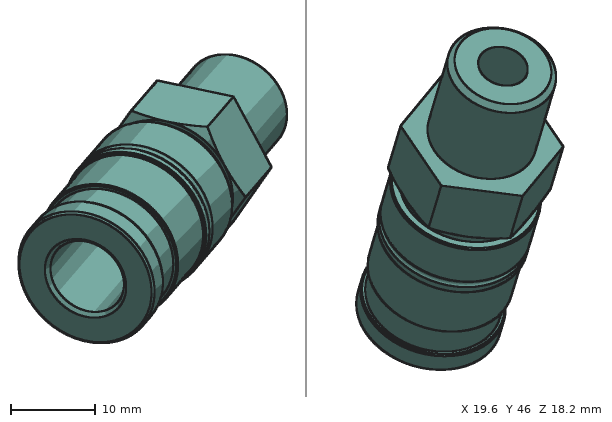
import cadquery as cq
import math


LENGTH = 46.0
LIP_END = 3.0
GRIP_END = 7.18
SLEEVE_END = 14.85
BEAD_END = 16.0
GROOVE_END = 16.97
COLLAR_END = 23.05
NECK_END = 24.45
HEX_END = 33.05

SLEEVE_RADIUS = 8.8
GRIP_RADIUS = 8.25
COLLAR_RADIUS = 9.1
NECK_RADIUS = 8.0
SHANK_RADIUS = 6.6

EDGE = 0.2
LIP_CHAMFER = 0.28
SHANK_CHAMFER = 0.75
GROOVE_DEPTH = 0.3

HEX_FLATS = 17.0
HEX_CORNERS = HEX_FLATS / math.cos(math.pi / 6)
HEX_CHAMFER_LENGTH = 0.75

BORE_RADIUS = 3.0
SOCKET_RADIUS = 4.75
SOCKET_DEPTH = HEX_END
SOCKET_MOUTH_RADIUS = 5.25
SOCKET_CHAMFER = SOCKET_MOUTH_RADIUS - SOCKET_RADIUS


def revolve_profile(points):
    """Revolve (radius, Y) points about the Y axis."""
    profile = cq.Workplane("XY").polyline(points).close()
    return profile.revolve(360, (0, 0, 0), (0, 1, 0))


def outer_body():
    """Turned body: lip, grip, sleeve, ungrooved collar, neck and shank."""
    return revolve_profile([
        (0, 0),
        (SLEEVE_RADIUS - LIP_CHAMFER, 0),
        (SLEEVE_RADIUS, LIP_CHAMFER),
        (SLEEVE_RADIUS, LIP_END - EDGE),
        (SLEEVE_RADIUS - EDGE, LIP_END),
        (GRIP_RADIUS, LIP_END),
        (GRIP_RADIUS, GRIP_END),
        (SLEEVE_RADIUS - EDGE, GRIP_END),
        (SLEEVE_RADIUS, GRIP_END + EDGE),
        (SLEEVE_RADIUS, SLEEVE_END),
        (COLLAR_RADIUS - EDGE, SLEEVE_END),
        (COLLAR_RADIUS, SLEEVE_END + EDGE),
        (COLLAR_RADIUS, COLLAR_END - EDGE),
        (COLLAR_RADIUS - EDGE, COLLAR_END),
        (NECK_RADIUS, COLLAR_END),
        (NECK_RADIUS, NECK_END),
        (SHANK_RADIUS, NECK_END),
        (SHANK_RADIUS, LENGTH - SHANK_CHAMFER),
        (SHANK_RADIUS - SHANK_CHAMFER, LENGTH),
        (0, LENGTH),
    ])


def round_groove():
    """Shallow ring with a circular-arc bottom, cut between bead and collar."""
    profile = (
        cq.Workplane("XY")
        .moveTo(COLLAR_RADIUS, BEAD_END)
        .threePointArc(
            (COLLAR_RADIUS - GROOVE_DEPTH, (BEAD_END + GROOVE_END) / 2),
            (COLLAR_RADIUS, GROOVE_END),
        )
        .lineTo(COLLAR_RADIUS + GROOVE_DEPTH, GROOVE_END)
        .lineTo(COLLAR_RADIUS + GROOVE_DEPTH, BEAD_END)
        .close()
    )
    return profile.revolve(360, (0, 0, 0), (0, 1, 0))


def hexagon():
    """Wrench hexagon with corners on X, its front corners cut by a cone."""
    prism = (
        cq.Workplane("XZ", origin=(0, HEX_END, 0))
        .polygon(6, HEX_CORNERS)
        .extrude(HEX_END - NECK_END)
    )
    envelope = revolve_profile([
        (0, NECK_END),
        (HEX_FLATS / 2, NECK_END),
        (HEX_CORNERS / 2, NECK_END + HEX_CHAMFER_LENGTH),
        (HEX_CORNERS / 2, HEX_END),
        (0, HEX_END),
    ])
    return prism.intersect(envelope)


def stepped_bore():
    """Through bore with a wider, chamfered socket at the front."""
    return revolve_profile([
        (0, 0),
        (SOCKET_MOUTH_RADIUS, 0),
        (SOCKET_RADIUS, SOCKET_CHAMFER),
        (SOCKET_RADIUS, SOCKET_DEPTH),
        (BORE_RADIUS, SOCKET_DEPTH),
        (BORE_RADIUS, LENGTH),
        (0, LENGTH),
    ])


result = (
    outer_body()
    .union(hexagon())
    .cut(round_groove())
    .cut(stepped_bore())
    .translate((0, -LENGTH / 2, 0))
)